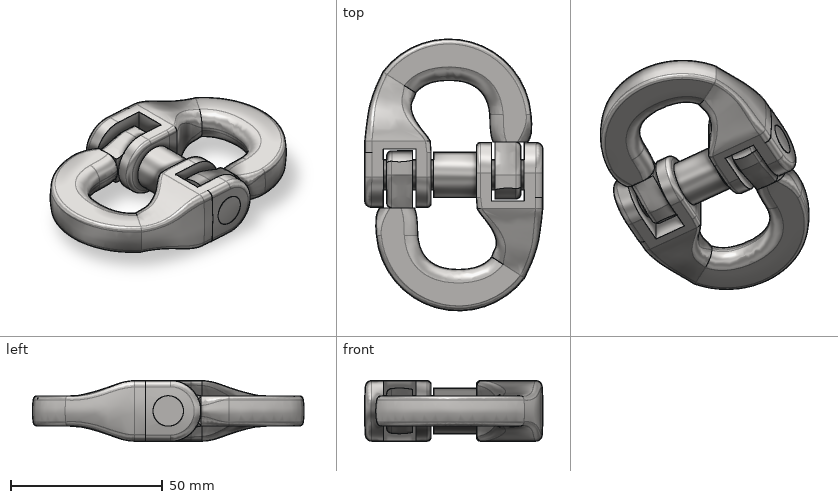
import cadquery as cq
import math


LINK_WIDTH = 58.9
LINK_LENGTH = 89.9

PIN_RADIUS = 5.0
PIN_HALF_LENGTH = LINK_WIDTH / 2
COLLAR_RADIUS = 7.55
COLLAR_GAP = 0.8

LUG_OUTER_X = -LINK_WIDTH / 2
LUG_INNER_X = -7.5
LUG_HALF_HEIGHT = 20.0 / 2
LUG_ROUND_Y = -0.7
LUG_SHOULDER_Y = 7.5
LUG_TOP_Y = 11.15
LUG_OUTER_ROUND = 2.2
LUG_INNER_ROUND = 1.4

SLOT_CENTRE_X = -17.9
SLOT_WIDTH = 10.7
SLOT_TOP_Y = 8.5

SIDE_CROWN = 0.315
BOW_CENTRE_X = -1.6
BOW_OUTER_RADIUS = 27.3
BOW_CENTRE_Y = LINK_LENGTH / 2 - BOW_OUTER_RADIUS
BOW_INNER_RADIUS = 13.6
BOW_INNER_SWELL = 0.9
BOW_HALF_HEIGHT = 10.0 / 2
BOW_OUTER_ROUND = 1.35
BOW_INNER_ROUND = 4.5
BOW_OUTER_START_ANGLE = 5
BOW_OUTER_END_ANGLE = 143
BOW_INNER_START_ANGLE = 10
BOW_INNER_END_ANGLE = 139
BOW_STEPS = 12

SWELL_START_Y = 29.7
SWELL_END_Y = LUG_TOP_Y
SWELL_SECTIONS = [
    ((-25.5, 29.6), (-13.75, 24.2), 3.6),
    ((-27.9, 22.6), (-13.7, 20.3), 2.7),
    ((-28.85, 16.5), (-11.0, 15.5), 2.0),
    ((-29.3, 12.9), (-8.9, 12.9), 1.7),
]
SWELL_END_X = -7.7
SWELL_END_ROUND = 1.6

ARM_SHOULDER_Y = 10.9
ARM_SECTIONS = [
    ((25.8, 16.6), (11.95, 16.6), 1.8),
    ((25.6, 13.7), (12.2, 13.7), 2.7),
    ((24.5, ARM_SHOULDER_Y), (12.9, ARM_SHOULDER_Y), 3.15),
]
EYE_CENTRE_X = -SLOT_CENTRE_X
EYE_WIDTH = 8.6
EYE_HALF_HEIGHT = 7.55
EYE_CROWN = 0.45
EYE_END_Y = -8.0
EYE_END_RADIUS = 9.6
EYE_SIDE_ROUND = 1.8
NECK_STEPS = 4


def smooth_step(t):
    """Rise from 0 to 1 that starts and ends level."""
    t = min(max(t, 0.0), 1.0)
    return t * t * (3 - 2 * t)


def bar_section(outer, inner, outer_height, inner_height, outer_round, inner_round):
    """Upright section between two points of the XY plane, crowned on its outer side.

    The heights are measured from the XY plane, at the outer and at the inner side.
    """
    width = math.dist(outer, inner)
    along = ((outer[0] - inner[0]) / width, (outer[1] - inner[1]) / width)

    def point(u, z):
        return cq.Vector(inner[0] + along[0] * u, inner[1] + along[1] * u, z)

    def corner(u_centre, z_centre, radius, start_angle):
        angles = [math.radians(start_angle + turn) for turn in (0, 45, 90)]
        return [point(u_centre + radius * math.cos(a), z_centre + radius * math.sin(a)) for a in angles]

    outer_u = width - SIDE_CROWN - outer_round
    outer_z = outer_height - outer_round
    inner_z = inner_height - inner_round
    corners = [
        corner(outer_u, outer_z, outer_round, 0),
        corner(inner_round, inner_z, inner_round, 90),
        corner(inner_round, -inner_z, inner_round, 180),
        corner(outer_u, -outer_z, outer_round, 270),
    ]
    edges = []
    for this_corner, next_corner in zip(corners, corners[1:]):
        edges.append(cq.Edge.makeThreePointArc(*this_corner))
        edges.append(cq.Edge.makeLine(this_corner[2], next_corner[0]))
    edges.append(cq.Edge.makeThreePointArc(*corners[3]))
    edges.append(cq.Edge.makeThreePointArc(corners[3][2], point(width, 0), corners[0][0]))
    return cq.Wire.assembleEdges(edges)


def loft(sections):
    return cq.Workplane(cq.Solid.makeLoft(sections, False))


def bow_section(fraction):
    """Section of the bow, from its arm end (0) to its lug end (1)."""
    outer_sweep = BOW_OUTER_END_ANGLE - BOW_OUTER_START_ANGLE
    inner_sweep = BOW_INNER_END_ANGLE - BOW_INNER_START_ANGLE
    outer_angle = math.radians(BOW_OUTER_START_ANGLE + outer_sweep * fraction)
    inner_angle = math.radians(BOW_INNER_START_ANGLE + inner_sweep * fraction)
    inner_radius = BOW_INNER_RADIUS + BOW_INNER_SWELL * math.sin(2 * inner_angle) ** 2
    outer, inner = [
        (BOW_CENTRE_X + radius * math.cos(angle), BOW_CENTRE_Y + radius * math.sin(angle))
        for radius, angle in ((BOW_OUTER_RADIUS, outer_angle), (inner_radius, inner_angle))
    ]
    return bar_section(outer, inner, BOW_HALF_HEIGHT, BOW_HALF_HEIGHT, BOW_OUTER_ROUND, BOW_INNER_ROUND)


def make_bow():
    return loft([bow_section(i / BOW_STEPS) for i in range(BOW_STEPS + 1)])


def swell_rise(y):
    return smooth_step((SWELL_START_Y - y) / (SWELL_START_Y - SWELL_END_Y))


def swell_height(y):
    return BOW_HALF_HEIGHT + swell_rise(y) * (LUG_HALF_HEIGHT - BOW_HALF_HEIGHT)


def lug_section(y, inner_x, inner_round):
    height = LUG_HALF_HEIGHT
    return bar_section((LUG_OUTER_X, y), (inner_x, y), height, height, LUG_OUTER_ROUND, inner_round)


def make_swelling():
    """Part between bow and lug, with the curved shoulder of the lug."""
    sections = [bow_section(1)]
    for outer, inner, inner_round in SWELL_SECTIONS:
        outer_round = BOW_OUTER_ROUND + swell_rise(outer[1]) * (LUG_OUTER_ROUND - BOW_OUTER_ROUND)
        heights = (swell_height(outer[1]), swell_height(inner[1]))
        sections.append(bar_section(outer, inner, *heights, outer_round, inner_round))
    end = lug_section(LUG_TOP_Y, SWELL_END_X, SWELL_END_ROUND)
    shoulder = lug_section(LUG_SHOULDER_Y, LUG_INNER_X, LUG_INNER_ROUND)
    return loft(sections + [end]).union(loft([end, shoulder]))


def make_lug():
    """Lug with a half-round end and a crowned outer side."""
    h = LUG_HALF_HEIGHT
    crowned = (
        cq.Workplane("XZ", origin=(0, LUG_SHOULDER_Y, 0))
        .moveTo(LUG_OUTER_X + SIDE_CROWN, -h)
        .threePointArc((LUG_OUTER_X, 0), (LUG_OUTER_X + SIDE_CROWN, h))
        .lineTo(LUG_INNER_X, h)
        .lineTo(LUG_INNER_X, -h)
        .close()
        .extrude(LUG_SHOULDER_Y - LUG_ROUND_Y + h)
    )
    rounded_end = (
        cq.Workplane("YZ", origin=(LUG_OUTER_X, 0, 0))
        .moveTo(LUG_SHOULDER_Y, -h)
        .lineTo(LUG_SHOULDER_Y, h)
        .lineTo(LUG_ROUND_Y, h)
        .threePointArc((LUG_ROUND_Y - h, 0), (LUG_ROUND_Y, -h))
        .close()
        .extrude(LUG_INNER_X - LUG_OUTER_X)
    )
    lug = crowned.intersect(rounded_end)
    lug = lug.faces("<X").edges("not(>Y)").fillet(LUG_OUTER_ROUND)
    return lug.faces(">X").edges("not(>Y)").fillet(LUG_INNER_ROUND)


def make_arm():
    """Arm that tapers from the bow to a flat shoulder in front of the other half's lug."""
    sections = [bow_section(0)]
    for outer, inner, outer_round in ARM_SECTIONS:
        heights = (BOW_HALF_HEIGHT, BOW_HALF_HEIGHT)
        sections.append(bar_section(outer, inner, *heights, outer_round, BOW_INNER_ROUND))
    return loft(sections)


def eye_outline(y, half_height):
    """Section of neck and eye with crowned top and bottom."""
    edge_z = half_height - EYE_CROWN
    half_width = EYE_WIDTH / 2
    return (
        cq.Workplane("XZ", origin=(EYE_CENTRE_X, y, 0))
        .moveTo(-half_width, -edge_z)
        .lineTo(-half_width, edge_z)
        .threePointArc((0, half_height), (half_width, edge_z))
        .lineTo(half_width, -edge_z)
        .threePointArc((0, -half_height), (-half_width, -edge_z))
        .close()
    )


def make_eye():
    """Neck and eye, with a barrel-shaped end and rounded outer edges."""
    sections = []
    for i in range(NECK_STEPS + 1):
        fall = i / NECK_STEPS
        half_height = EYE_HALF_HEIGHT - smooth_step(fall) * (EYE_HALF_HEIGHT - BOW_HALF_HEIGHT)
        sections.append(eye_outline(ARM_SHOULDER_Y * fall, half_height).wires().val())
    eye = eye_outline(0, EYE_HALF_HEIGHT).extrude(-EYE_END_Y)
    end_barrel = (
        cq.Workplane("YZ", origin=(EYE_CENTRE_X, EYE_END_Y + EYE_END_RADIUS, 0))
        .circle(EYE_END_RADIUS)
        .extrude(EYE_WIDTH, both=True)
    )
    eye = eye.intersect(end_barrel)
    neck_and_eye = loft(sections).union(eye)
    return neck_and_eye.faces(">X").edges("not |Z").fillet(EYE_SIDE_ROUND)


def make_half_link():
    link = make_bow().union(make_swelling()).union(make_lug()).union(make_arm())
    slot_length = SLOT_TOP_Y - LUG_ROUND_Y + LUG_HALF_HEIGHT
    slot = cq.Workplane("XY").box(SLOT_WIDTH, slot_length, 2 * LUG_HALF_HEIGHT).translate(
        (SLOT_CENTRE_X, SLOT_TOP_Y - slot_length / 2, 0)
    )
    pin_hole = cq.Workplane("YZ").circle(PIN_RADIUS).extrude(PIN_HALF_LENGTH, both=True)
    return link.cut(slot).union(make_eye()).cut(pin_hole)


def make_pin():
    """Pin with a collar that bears on the far lug."""
    pin = cq.Workplane("YZ").circle(PIN_RADIUS).extrude(PIN_HALF_LENGTH, both=True)
    collar_start = LUG_INNER_X + COLLAR_GAP
    collar = (
        cq.Workplane("YZ", origin=(collar_start, 0, 0))
        .circle(COLLAR_RADIUS)
        .extrude(-LUG_INNER_X - collar_start)
    )
    return pin.union(collar)


half_link = make_half_link()
half_links = [half_link.rotate((0, 0, 0), (0, 0, 1), turn).solids().val() for turn in (0, 180)]
pin = make_pin()
result = cq.Compound.makeCompound([*half_links, pin.val()])